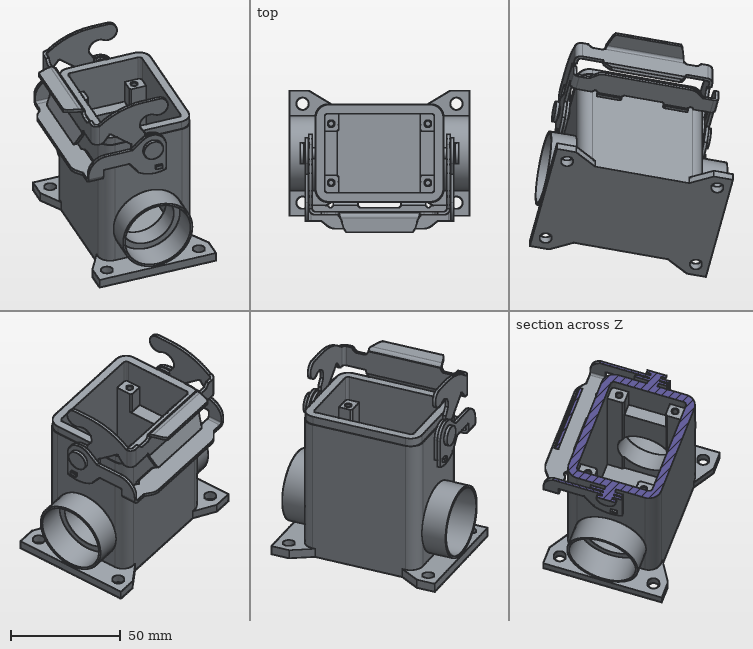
import cadquery as cq
import math

BASE_X, BASE_Y, BASE_Z = 82.0, 57.0, 4.3
BODY_X, BODY_Y, BODY_R = 58.5, 44.7, 6.0
TOP_Z = 73.0
COLLAR_Z = 69.0
COLLAR_INSET = 0.3
EAR_OUTER_X = 32.1
EAR_INNER_X = 21.9
MOUNT_X, MOUNT_Y, MOUNT_D = 70.0, 45.0, 5.5

CAVITY_X, CAVITY_Y, CAVITY_R = 50.0, 36.0, 1.5
FLOOR_Z = BASE_Z
POST_X, POST_Y, POST_Z, POST_CHAMFER = 6.45, 8.05, 61.0, 0.8
SCREW_X, SCREW_Y, SCREW_D, SCREW_DEPTH = 44.0, 26.9, 2.6, 10.0
SCREW_MOUTH_D = 3.3
LEDGE_Z = 50.0
LEFT_LEDGE, RIGHT_LEDGE = 5.7, POST_X

TUBE_Z, TUBE_R, SOCKET_R, BORE_R = 22.0, 17.0, 16.0, 13.0
SOCKET_DEPTH = 13.0

PIVOT_Z = 65.9
PIN_R, HEAD_R, HEAD_X, HEAD_T = 2.6, 4.7, 34.5, 1.6
PIN_EMBED = 3.0

SHEET = 1.5
EXTRUDE_MARGIN = 5.0

UPPER_X = 32.1
LOWER_X = 33.8
OVER_BODY_X = 2 * LOWER_X + 2 * EXTRUDE_MARGIN

STRAP_Y, STRAP_LOW_Z, STRAP_HIGH_Z, STRAP_BEND_R = -28.05, 73.3, 83.3, 2.9
LATCH_TOP_Z = 91.0
HOOK_Y, HOOK_R = 4.15, 4.4
THROAT_Z, THROAT_R = 78.3, 5.15
BACK_Y = -3.4
NECK_Y, NECK_Z = -9.13, 69.0
NOTCH_Z = 77.36
HUB_R, HUB_LOW_Z = 6.5, 55.3

TAB_TIP_Y, TAB_TOP_Z, TAB_BEND_R = -35.98, 84.6, 2.8
GRIP_BEND_Z, GRIP_TIP_Y = 71.6, -31.5
GRIP_ANGLE = math.radians(26)

ARM_TOP_Z, ARM_LOW_Z, ARM_BEND_R, ARM_CORNER_R = 66.95, 59.8, 8.55, 0.8
ARM_FRONT_Y, ARM_INNER_Y = -30.86, -23.7
LOBE_R = 7.0
STRIP_Z, STRIP_BEND_R, STRIP_BEND_TOP_Z = 53.85, 2.5, 56.6
STRIP_NOSE_Y = -34.4
FLANGE_X0, FLANGE_X1, FLANGE_Y, FLANGE_LOW_Z = 9.7, 21.1, -22.4, 52.75
RELIEF_X, RELIEF_Y = 23.5, -24.7
STUD_Y, STUD_Z, STUD_X0, STUD_X1 = 3.2, 54.9, 31.9, 34.9
STUD_LENGTH, STUD_HEIGHT = 3.1, 1.6


def block(x0, x1, y0, y1, z0, z1):
    return cq.Workplane("XY").box(x1 - x0, y1 - y0, z1 - z0, centered=False).translate((x0, y0, z0))


def rounded_block(size_x, size_y, radius, z0, z1):
    solid = cq.Workplane("XY").workplane(offset=z0).rect(size_x, size_y).extrude(z1 - z0)
    return solid.edges("|Z").fillet(radius)


def x_cylinder(radius, x0, x1, z):
    return cq.Workplane("YZ", origin=(x0, 0, z)).circle(radius).extrude(x1 - x0)


def both_sides(shape):
    return shape.union(shape.mirror("YZ"))


def mirrored_outline(right_half):
    """Points of the +X half of a closed outline, continued by its mirror image."""
    return right_half + [(-x, v) for x, v in reversed(right_half)]


def on_circle(center, radius, degrees):
    angle = math.radians(degrees)
    return (center[0] + radius * math.cos(angle), center[1] + radius * math.sin(angle))


def make_base():
    half_x, half_y, face_y = BASE_X / 2, BASE_Y / 2, BODY_Y / 2
    right = [
        (EAR_INNER_X, -face_y),
        (EAR_OUTER_X, -half_y),
        (half_x, -half_y),
        (half_x, half_y),
        (EAR_OUTER_X, half_y),
        (EAR_INNER_X, face_y),
    ]
    plate = cq.Workplane("XY").polyline(mirrored_outline(right)).close().extrude(BASE_Z)
    return plate.faces(">Z").workplane(origin=(0, 0, BASE_Z)).rect(
        MOUNT_X, MOUNT_Y, forConstruction=True).vertices().hole(MOUNT_D)


def make_cavity():
    half_x, half_y = CAVITY_X / 2, CAVITY_Y / 2
    cavity = rounded_block(CAVITY_X, CAVITY_Y, CAVITY_R, FLOOR_Z, TOP_Z)
    cavity = cavity.cut(block(-half_x, LEFT_LEDGE - half_x, -half_y, half_y, FLOOR_Z, LEDGE_Z))
    cavity = cavity.cut(block(half_x - RIGHT_LEDGE, half_x, -half_y, half_y, FLOOR_Z, LEDGE_Z))
    for sx in (-1, 1):
        for sy in (-1, 1):
            post = cq.Workplane("XY").box(POST_X, POST_Y, POST_Z - FLOOR_Z)
            inner_edge = ("<X" if sx > 0 else ">X") + " and " + ("<Y" if sy > 0 else ">Y")
            post = post.edges("|Z").edges(inner_edge).chamfer(POST_CHAMFER)
            center_z = (POST_Z + FLOOR_Z) / 2
            post = post.translate((sx * (half_x - POST_X / 2), sy * (half_y - POST_Y / 2), center_z))
            cavity = cavity.cut(post)
    return cavity


def make_screw_holes():
    mouth_depth = (SCREW_MOUTH_D - SCREW_D) / 2
    post_tops = cq.Workplane("XY", origin=(0, 0, POST_Z))
    centers = post_tops.rect(SCREW_X, SCREW_Y, forConstruction=True).vertices()
    hole = cq.Workplane("XZ").polyline([
        (0, 0), (SCREW_MOUTH_D / 2, 0), (SCREW_D / 2, -mouth_depth),
        (SCREW_D / 2, -SCREW_DEPTH), (0, -SCREW_DEPTH),
    ]).close().revolve().val()
    return centers.eachpoint(lambda place: hole.moved(place))


def make_housing():
    body = rounded_block(BODY_X, BODY_Y, BODY_R, 0, COLLAR_Z)
    collar_x, collar_y = BODY_X - 2 * COLLAR_INSET, BODY_Y - 2 * COLLAR_INSET
    collar = rounded_block(collar_x, collar_y, BODY_R - COLLAR_INSET, COLLAR_Z, TOP_Z)
    tubes = x_cylinder(TUBE_R, -BASE_X / 2, BASE_X / 2, TUBE_Z)
    housing = make_base().union(body).union(collar).union(tubes)
    housing = housing.cut(make_cavity())
    housing = housing.cut(x_cylinder(BORE_R, -BASE_X / 2, BASE_X / 2, TUBE_Z))
    socket = x_cylinder(SOCKET_R, BASE_X / 2 - SOCKET_DEPTH, BASE_X / 2, TUBE_Z)
    housing = housing.cut(both_sides(socket))
    return housing.cut(make_screw_holes())


def make_pins():
    shaft = x_cylinder(PIN_R, BODY_X / 2 - PIN_EMBED, HEAD_X, PIVOT_Z)
    head = x_cylinder(HEAD_R, HEAD_X, HEAD_X + HEAD_T, PIVOT_Z)
    return both_sides(shaft.union(head))


def upper_side_profile():
    """Outline of a hook arm, running round from the hook to the front strap and the hub."""
    hook_z = LATCH_TOP_Z - HOOK_R
    hook, throat = (HOOK_Y, hook_z), (0, THROAT_Z)
    join = math.degrees(math.atan2(THROAT_Z - hook_z, -HOOK_Y))
    back_end_y = STRAP_Y + STRAP_BEND_R
    run, drop = BACK_Y - back_end_y, LATCH_TOP_Z - STRAP_HIGH_Z
    back_r = (run ** 2 + drop ** 2) / (2 * drop)
    half_turn = math.degrees(math.atan2(drop, run))
    throat_end = on_circle(throat, THROAT_R, 180 + math.degrees(math.asin((THROAT_Z - NOTCH_Z) / THROAT_R)))
    hub_corner_y, hub_corner_z = -2.7, 73.8
    hub_high_z = PIVOT_Z + math.sqrt(HUB_R ** 2 - hub_corner_y ** 2)
    heel_r = 8.8
    peak_y, peak_width, strap_foot_y = -19.3, 0.8, -23.35
    return (
        cq.Workplane("YZ", origin=(-OVER_BODY_X / 2, 0, 0))
        .moveTo(HOOK_Y, LATCH_TOP_Z)
        .lineTo(BACK_Y, LATCH_TOP_Z)
        .threePointArc(
            on_circle((BACK_Y, LATCH_TOP_Z - back_r), back_r, 90 + half_turn),
            (back_end_y, STRAP_HIGH_Z))
        .lineTo(STRAP_Y, STRAP_HIGH_Z)
        .lineTo(STRAP_Y, STRAP_LOW_Z)
        .lineTo(strap_foot_y, STRAP_LOW_Z)
        .lineTo(peak_y - peak_width, NOTCH_Z)
        .lineTo(peak_y, NOTCH_Z)
        .lineTo(NECK_Y, NECK_Z)
        .lineTo(NECK_Y, HUB_LOW_Z + heel_r)
        .threePointArc(
            on_circle((NECK_Y + heel_r, HUB_LOW_Z + heel_r), heel_r, 225),
            (NECK_Y + heel_r, HUB_LOW_Z))
        .lineTo(HUB_R, HUB_LOW_Z)
        .lineTo(HUB_R, PIVOT_Z)
        .threePointArc(on_circle((0, PIVOT_Z), HUB_R, 60), (hub_corner_y, hub_high_z))
        .lineTo(hub_corner_y, hub_corner_z)
        .lineTo(*throat_end)
        .threePointArc((0, THROAT_Z + THROAT_R), on_circle(hook, HOOK_R, join))
        .threePointArc(on_circle(hook, HOOK_R, 0), (HOOK_Y, LATCH_TOP_Z))
        .close()
        .extrude(OVER_BODY_X)
    )


def make_upper_latch():
    arm_end_y = HOOK_Y + HOOK_R + EXTRUDE_MARGIN
    z0, z1 = HUB_LOW_Z - EXTRUDE_MARGIN, LATCH_TOP_Z + EXTRUDE_MARGIN
    outer = block(-UPPER_X, UPPER_X, STRAP_Y, arm_end_y, z0, z1)
    outer = outer.edges("|Z and <Y").fillet(STRAP_BEND_R)
    inner = block(SHEET - UPPER_X, UPPER_X - SHEET, STRAP_Y + SHEET, arm_end_y, z0, z1)
    inner = inner.edges("|Z and <Y").fillet(STRAP_BEND_R - SHEET)
    latch = outer.cut(inner).intersect(upper_side_profile())

    dip_z = 81.1
    dip_top_x, dip_low_x, dip_end_x, dip_foot_x = 26.4, 24.6, 18.0, 19.2
    dip_r = 1.5
    dip = (
        cq.Workplane("XZ", origin=(0, STRAP_Y + SHEET, 0))
        .polyline([(dip_top_x, STRAP_HIGH_Z), (dip_low_x, dip_z), (dip_foot_x, dip_z),
                   (dip_end_x, STRAP_HIGH_Z)])
        .close()
        .extrude(SHEET)
        .edges("|Y and <Z").fillet(dip_r)
    )
    return latch.cut(both_sides(dip)).union(make_top_tab()).union(make_grip())


def make_top_tab():
    """Tab bent forward from the top edge of the strap, tapering to a clipped tip."""
    bend_y, bend_z = STRAP_Y + SHEET - TAB_BEND_R, TAB_TOP_Z - TAB_BEND_R
    root_x, shoulder_x, shoulder_y, tip_x = 18.2, 16.2, -34.4, 15.2
    bend = (bend_y, bend_z)
    profile = (
        cq.Workplane("YZ", origin=(-root_x, 0, 0))
        .moveTo(STRAP_Y + SHEET, STRAP_LOW_Z)
        .lineTo(STRAP_Y + SHEET, bend_z)
        .threePointArc(on_circle(bend, TAB_BEND_R, 45), (bend_y, TAB_TOP_Z))
        .lineTo(TAB_TIP_Y, TAB_TOP_Z)
        .lineTo(TAB_TIP_Y, TAB_TOP_Z - SHEET)
        .lineTo(bend_y, TAB_TOP_Z - SHEET)
        .threePointArc(on_circle(bend, TAB_BEND_R - SHEET, 45), (STRAP_Y, bend_z))
        .lineTo(STRAP_Y, STRAP_LOW_Z)
        .close()
        .extrude(2 * root_x)
    )
    right = [(tip_x, TAB_TIP_Y), (shoulder_x, shoulder_y), (root_x, STRAP_Y), (root_x, STRAP_Y + SHEET)]
    plan = (
        cq.Workplane("XY", origin=(0, 0, STRAP_LOW_Z))
        .polyline(mirrored_outline(right)).close()
        .extrude(TAB_TOP_Z - STRAP_LOW_Z)
    )
    return profile.intersect(plan)


def make_grip():
    """Lip below the strap, sloping forward and narrowing towards its lower edge."""
    root_x, tip_x, corner_r = 19.4, 16.5, 2.0
    lean_y, lean_z = math.sin(GRIP_ANGLE), math.cos(GRIP_ANGLE)
    length = (STRAP_Y - GRIP_TIP_Y) / lean_y
    outer_tip = (GRIP_TIP_Y, GRIP_BEND_Z - length * lean_z)
    inner_tip = (outer_tip[0] + SHEET * lean_z, outer_tip[1] - SHEET * lean_y)
    profile = (
        cq.Workplane("YZ", origin=(-root_x, 0, 0))
        .polyline([(STRAP_Y, STRAP_LOW_Z), (STRAP_Y, GRIP_BEND_Z), outer_tip, inner_tip,
                   (STRAP_Y + SHEET, GRIP_BEND_Z), (STRAP_Y + SHEET, STRAP_LOW_Z)])
        .close()
        .extrude(2 * root_x)
    )
    right = [(tip_x, inner_tip[1]), (root_x, STRAP_LOW_Z)]
    front = (
        cq.Workplane("XZ", origin=(0, STRAP_Y + EXTRUDE_MARGIN, 0))
        .polyline(mirrored_outline(right)).close()
        .extrude(3 * EXTRUDE_MARGIN)
        .edges("|Y and <Z").fillet(corner_r)
    )
    return profile.intersect(front)


def make_lower_arm():
    """Flat arm on the +X side: a lobe round the pivot and an elbow reaching down to the strip."""
    elbow_y = ARM_FRONT_Y + ARM_BEND_R
    shoulder = (-9.59, ARM_TOP_Z)
    heel_y = -11.2
    heel_low, lobe_low, lobe_back = (-6.6, 53.9), (2.2, 51.4), (LOBE_R, 52.4)
    reach = math.hypot(shoulder[0], shoulder[1] - PIVOT_Z)
    bearing = math.degrees(math.atan2(shoulder[1] - PIVOT_Z, shoulder[0]))
    tangent = bearing - math.degrees(math.acos(LOBE_R / reach))
    elbow_mid = on_circle((elbow_y, ARM_TOP_Z - ARM_BEND_R), ARM_BEND_R, 135)
    corner = (ARM_INNER_Y + ARM_CORNER_R, ARM_LOW_Z - ARM_CORNER_R)
    return (
        cq.Workplane("YZ", origin=(LOWER_X - SHEET, 0, 0))
        .moveTo(LOBE_R, PIVOT_Z)
        .threePointArc(
            on_circle((0, PIVOT_Z), LOBE_R, tangent / 2),
            on_circle((0, PIVOT_Z), LOBE_R, tangent))
        .lineTo(*shoulder)
        .lineTo(elbow_y, ARM_TOP_Z)
        .threePointArc(elbow_mid, (ARM_FRONT_Y, ARM_TOP_Z - ARM_BEND_R))
        .lineTo(ARM_FRONT_Y, STRIP_BEND_TOP_Z)
        .lineTo(ARM_INNER_Y, STRIP_BEND_TOP_Z)
        .lineTo(ARM_INNER_Y, ARM_LOW_Z - ARM_CORNER_R)
        .threePointArc(on_circle(corner, ARM_CORNER_R, 135), (ARM_INNER_Y + ARM_CORNER_R, ARM_LOW_Z))
        .lineTo(heel_y, ARM_LOW_Z)
        .lineTo(*heel_low)
        .threePointArc(lobe_low, lobe_back)
        .close()
        .extrude(SHEET)
    )


def make_strip():
    """Cross strip joining the two lower arms, with a wavy nose in front and a relieved rear edge."""
    strip_top_z = STRIP_Z + SHEET
    outer = block(-LOWER_X, LOWER_X, ARM_FRONT_Y, ARM_INNER_Y, STRIP_Z, ARM_LOW_Z)
    outer = outer.edges("|Y and <Z").fillet(STRIP_BEND_R)
    inner = block(SHEET - LOWER_X, LOWER_X - SHEET, ARM_FRONT_Y, ARM_INNER_Y, strip_top_z, ARM_LOW_Z)
    inner = inner.edges("|Y and <Z").fillet(STRIP_BEND_R - SHEET)
    above = block(-LOWER_X, LOWER_X, ARM_FRONT_Y, ARM_INNER_Y, STRIP_BEND_TOP_Z, ARM_LOW_Z)
    strip = outer.cut(inner).cut(above)

    nose_root_x, nose_mid_x, nose_mid_y, nose_x = 26.5, 23.7, -33.1, 19.9
    nose_arc = (22.1, -34.0)
    nose = (
        cq.Workplane("XY", origin=(0, 0, STRIP_Z))
        .moveTo(nose_root_x, ARM_FRONT_Y)
        .lineTo(nose_mid_x, nose_mid_y)
        .threePointArc(nose_arc, (nose_x, STRIP_NOSE_Y))
        .lineTo(-nose_x, STRIP_NOSE_Y)
        .threePointArc((-nose_arc[0], nose_arc[1]), (-nose_mid_x, nose_mid_y))
        .lineTo(-nose_root_x, ARM_FRONT_Y)
        .close()
        .extrude(SHEET)
    )
    strip = strip.union(nose)

    clip = 0.8
    window = block(-FLANGE_X0, FLANGE_X0, RELIEF_Y, ARM_INNER_Y, STRIP_Z, strip_top_z)
    window = window.edges("|Z and <Y").chamfer(clip)
    relief = block(FLANGE_X1, RELIEF_X, RELIEF_Y, ARM_INNER_Y, STRIP_Z, strip_top_z)
    relief = relief.edges("|Z and <Y").chamfer(clip)
    flange = block(FLANGE_X0, FLANGE_X1, ARM_INNER_Y, FLANGE_Y, FLANGE_LOW_Z, strip_top_z)
    bend_chamfer = 1.2
    flange = flange.edges("|X and >Y and >Z").chamfer(bend_chamfer)
    flange = flange.edges("|Y and <X and <Z").chamfer(clip)
    return strip.cut(window).cut(both_sides(relief)).union(both_sides(flange))


def make_lower_latch():
    stud = block(
        STUD_X0, STUD_X1,
        STUD_Y - STUD_LENGTH / 2, STUD_Y + STUD_LENGTH / 2,
        STUD_Z - STUD_HEIGHT / 2, STUD_Z + STUD_HEIGHT / 2)
    return make_strip().union(both_sides(make_lower_arm().union(stud)))


result = make_housing().union(make_pins()).union(make_upper_latch()).union(make_lower_latch())